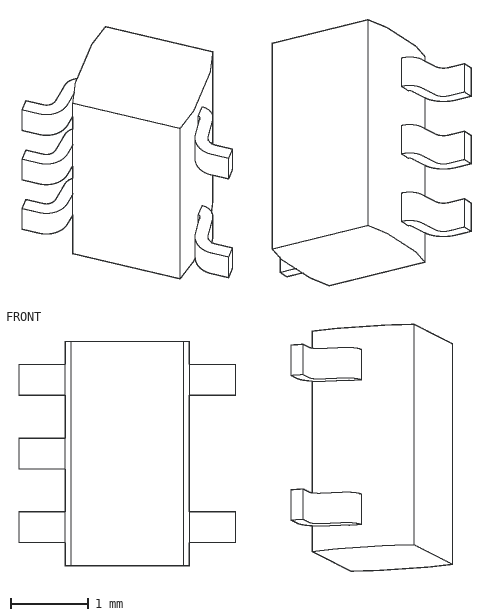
import cadquery as cq
import math

housing_length = 2.9
housing_half_width = 0.803
housing_depth = 1.4
standoff = 0.05
draft_inset = 0.075
draft_depth = housing_depth / 4

lead_half_span = 1.4
lead_thickness = 0.168
lead_width = 0.4
lead_pitch = 0.95
lead_top = 0.75
foot_length = 0.238
foot_inner_radius = 0.13
foot_outer_radius = foot_inner_radius + lead_thickness
shoulder_inner_radius = 0.032
shoulder_outer_radius = shoulder_inner_radius + lead_thickness

LEFT = -1
RIGHT = 1
lead_positions = [
    (LEFT, -lead_pitch),
    (LEFT, 0),
    (LEFT, lead_pitch),
    (RIGHT, -lead_pitch),
    (RIGHT, lead_pitch),
]


def make_housing():
    """Prism with drafted edges along both its mounting side and its far side."""
    bottom = standoff
    top = standoff + housing_depth
    wide = housing_half_width
    narrow = housing_half_width - draft_inset
    outline = [
        (-narrow, bottom),
        (narrow, bottom),
        (wide, bottom + draft_depth),
        (wide, top - draft_depth),
        (narrow, top),
        (-narrow, top),
        (-wide, top - draft_depth),
        (-wide, bottom + draft_depth),
    ]
    return (
        cq.Workplane("XY")
        .polyline(outline)
        .close()
        .extrude(housing_length / 2, both=True)
    )


def point_on_circle(center, radius, angle):
    return (center[0] + radius * math.cos(angle), center[1] + radius * math.sin(angle))


def make_lead(side, z_center):
    """Gull-wing lead: flat foot, foot bend, leaning leg and shoulder bend."""
    foot_end = -lead_half_span
    foot_center = (foot_end + foot_length, foot_outer_radius)
    shoulder_center = (-housing_half_width, lead_top - shoulder_outer_radius)

    dx = shoulder_center[0] - foot_center[0]
    dy = shoulder_center[1] - foot_center[1]
    radius_sum = foot_outer_radius + shoulder_inner_radius
    lean = math.acos(radius_sum / math.hypot(dx, dy)) - math.atan2(dy, dx)

    down = -math.pi / 2
    up = math.pi / 2
    foot_exit = -lean
    foot_middle = (down + foot_exit) / 2
    shoulder_entry = math.pi - lean
    shoulder_middle = (up + shoulder_entry) / 2

    def on_foot(radius, angle):
        return point_on_circle(foot_center, radius, angle)

    def on_shoulder(radius, angle):
        return point_on_circle(shoulder_center, radius, angle)

    lead = (
        cq.Workplane("XY")
        .moveTo(foot_end, 0)
        .lineTo(*on_foot(foot_outer_radius, down))
        .threePointArc(on_foot(foot_outer_radius, foot_middle), on_foot(foot_outer_radius, foot_exit))
        .lineTo(*on_shoulder(shoulder_inner_radius, shoulder_entry))
        .threePointArc(
            on_shoulder(shoulder_inner_radius, shoulder_middle),
            on_shoulder(shoulder_inner_radius, up),
        )
        .lineTo(*on_shoulder(shoulder_outer_radius, up))
        .threePointArc(
            on_shoulder(shoulder_outer_radius, shoulder_middle),
            on_shoulder(shoulder_outer_radius, shoulder_entry),
        )
        .lineTo(*on_foot(foot_inner_radius, foot_exit))
        .threePointArc(on_foot(foot_inner_radius, foot_middle), on_foot(foot_inner_radius, down))
        .lineTo(foot_end, lead_thickness)
        .close()
        .extrude(lead_width / 2, both=True)
    )
    if side == RIGHT:
        lead = lead.mirror("YZ")
    return lead.translate((0, 0, z_center))


housing = make_housing()
leads = [make_lead(side, z_center) for side, z_center in lead_positions]

result = cq.Compound.makeCompound([housing.val(), *[lead.val() for lead in leads]])